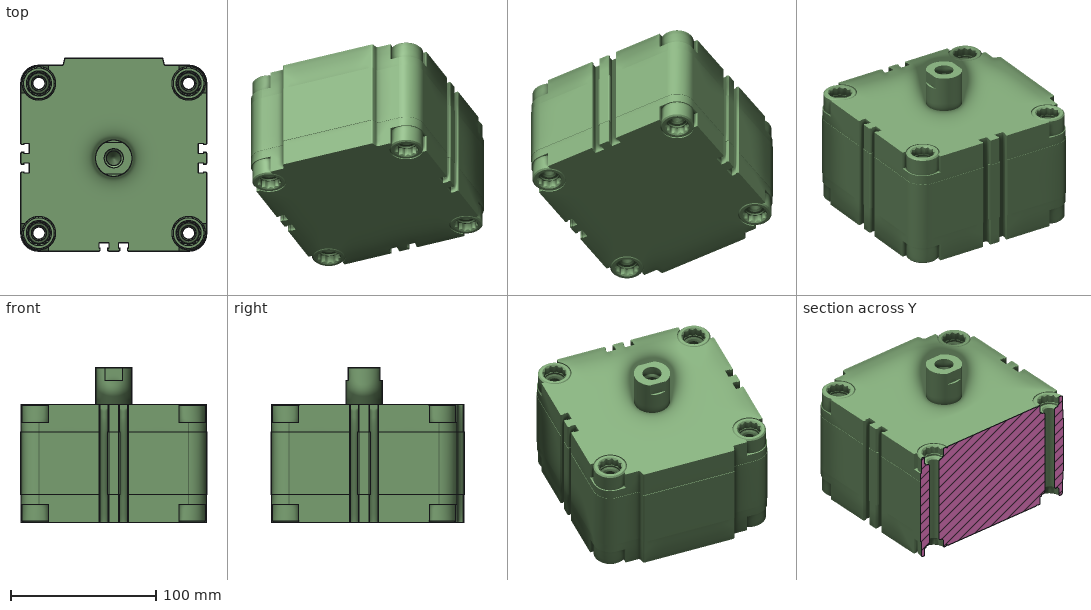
import cadquery as cq
import math

WIDTH = 128.0
HALF_WIDTH = WIDTH / 2
HOUSING_HEIGHT = 81.3
CAP_HEIGHT = 19.2
BARREL_HEIGHT = HOUSING_HEIGHT - 2 * CAP_HEIGHT
CORNER_RADIUS = 12.5
CAP_INSET = 0.2
TAB_INSET = 0.4

TOTAL_DEPTH = 133
TAB_TOP = TOTAL_DEPTH - HALF_WIDTH
TAB_TOP_HALF = 33.6
TAB_ROOT_HALF = 34.8
TAB_FILLET = 1.3

SLOT_DEPTH = 5.9
LIP_DEPTH = 2.3
SLOT_INNER = 3.3
SLOT_OUTER = 10.1
LIP_OUTER = 9.5
LIP_CHAMFER = 0.5
BARREL_LIP_INNER = 4.4
CAP_LIP_INNER = 3.9
SLOT_FACE_ANGLES = (-90, 0, 90)

SCREW_OFFSET = HALF_WIDTH - CORNER_RADIUS
SCREW_PLACES = [(x, y) for x in (-SCREW_OFFSET, SCREW_OFFSET) for y in (-SCREW_OFFSET, SCREW_OFFSET)]
HEAD_DIAMETER = 23.0
HEAD_HEIGHT = 12.4
HEAD_CHAMFER = 0.9
CORNER_NOTCH = 19.0
SCREW_BORE = 8.2
SOCKET_CORNERS = 16.5
HEXAGON_TURN = 30
SOCKET_DEPTH = 6.1
SOCKET_MOUTH = 17.3
SOCKET_MOUTH_TAPER = 1.7
RELIEF_DIAMETER = 14.2
RELIEF_DEPTH = 7.5
BORE_MOUTH = 10.5

ROD_DIAMETER = 25.0
ROD_LENGTH = 25.3
FLAT_WIDTH = 22.0
FLAT_HEIGHT = 8.8
ROD_RECESS_DIAMETER = 13.2
ROD_RECESS_DEPTH = 6.4
ROD_HOLE_DIAMETER = 10.1
ROD_HOLE_DEPTH = 21.3
DRILL_POINT_ANGLE = 118


def cone(bottom_radius, top_radius, height, bottom_z):
    """Cone on the Z axis, starting at bottom_z."""
    return cq.Workplane(obj=cq.Solid.makeCone(bottom_radius, top_radius, height, cq.Vector(0, 0, bottom_z)))


def tab(root, top, height):
    """Trapezoid bar on +Y that ends at y = top, rising from the face at y = root."""
    return (
        cq.Workplane("XY")
        .moveTo(-TAB_ROOT_HALF, root)
        .lineTo(-TAB_TOP_HALF, top)
        .lineTo(TAB_TOP_HALF, top)
        .lineTo(TAB_ROOT_HALF, root)
        .lineTo(TAB_ROOT_HALF, 0)
        .lineTo(-TAB_ROOT_HALF, 0)
        .close()
        .extrude(height)
    )


def slot_pair(lip_inner, face, height):
    """Cutter for the two undercut slots of the -Y face at y = -face."""
    chamfer_end = LIP_CHAMFER - face
    throat = LIP_DEPTH - HALF_WIDTH
    floor = SLOT_DEPTH - HALF_WIDTH
    slot = (
        cq.Workplane("XY")
        .moveTo(SLOT_INNER, -face)
        .lineTo(lip_inner, chamfer_end)
        .lineTo(lip_inner, throat)
        .lineTo(SLOT_INNER, throat)
        .lineTo(SLOT_INNER, floor)
        .lineTo(SLOT_OUTER, floor)
        .lineTo(SLOT_OUTER, throat)
        .lineTo(LIP_OUTER, throat)
        .lineTo(LIP_OUTER, chamfer_end)
        .lineTo(LIP_OUTER + LIP_CHAMFER, -face)
        .close()
        .extrude(height)
    )
    return slot.union(slot.mirror("YZ"))


def section(height, inset, tab_top, lip_inner):
    """Length of the housing with its rounded corners, tab and sensor slots."""
    face = HALF_WIDTH - inset
    body = (
        cq.Workplane("XY")
        .rect(2 * face, 2 * face)
        .extrude(height)
        .edges("|Z")
        .fillet(CORNER_RADIUS - inset)
        .union(tab(face, tab_top, height))
    )
    tab_edges = cq.selectors.BoxSelector(
        (-TAB_ROOT_HALF - TAB_FILLET, face - TAB_FILLET, 0),
        (TAB_ROOT_HALF + TAB_FILLET, tab_top + TAB_FILLET, height),
    )
    body = body.edges("|Z").edges(tab_edges).fillet(TAB_FILLET)
    slots = slot_pair(lip_inner, face, height)
    for angle in SLOT_FACE_ANGLES:
        body = body.cut(slots.rotate((0, 0, 0), (0, 0, 1), angle))
    return body


def at_screws(shape):
    """One copy of a shape at every screw axis."""
    copies = [shape.val().moved(cq.Location(cq.Vector(x, y, 0))) for x, y in SCREW_PLACES]
    return cq.Workplane(obj=cq.Compound.makeCompound(copies))


def head_pocket():
    """Corner notch and round seat that free each screw head from the cap."""
    seat_z = CAP_HEIGHT - HEAD_HEIGHT
    seat = cq.Workplane("XY", origin=(0, 0, seat_z)).circle(HEAD_DIAMETER / 2).extrude(HEAD_HEIGHT)
    notches = (
        cq.Workplane("XY", origin=(0, 0, seat_z))
        .rect(WIDTH, WIDTH, forConstruction=True)
        .vertices()
        .rect(2 * CORNER_NOTCH, 2 * CORNER_NOTCH)
        .extrude(HEAD_HEIGHT)
    )
    return notches.union(at_screws(seat))


def screw_head():
    """Chamfered round head, up to the outer face of the cap."""
    return (
        cq.Workplane("XY", origin=(0, 0, CAP_HEIGHT - HEAD_HEIGHT))
        .circle(HEAD_DIAMETER / 2)
        .extrude(HEAD_HEIGHT)
        .faces(">Z")
        .chamfer(HEAD_CHAMFER)
    )


def screw_hollow():
    """Cutter for the twelve-point socket, its relief and the bore through the cap."""
    top = CAP_HEIGHT
    hexagon = cq.Workplane("XY", origin=(0, 0, top)).polygon(6, SOCKET_CORNERS).extrude(-SOCKET_DEPTH)
    socket = hexagon.union(hexagon.rotate((0, 0, 0), (0, 0, 1), HEXAGON_TURN))
    mouth_radius = SOCKET_MOUTH / 2
    mouth_floor = top - SOCKET_MOUTH_TAPER
    mouth = cone(mouth_radius - SOCKET_MOUTH_TAPER, mouth_radius, SOCKET_MOUTH_TAPER, mouth_floor)
    relief = cq.Workplane("XY", origin=(0, 0, top)).circle(RELIEF_DIAMETER / 2).extrude(-RELIEF_DEPTH)
    countersink = (BORE_MOUTH - SCREW_BORE) / 2
    bore_mouth = cone(SCREW_BORE / 2, BORE_MOUTH / 2, countersink, top - RELIEF_DEPTH - countersink)
    bore = cq.Workplane("XY").circle(SCREW_BORE / 2).extrude(top)
    return bore.union(bore_mouth).union(relief).union(socket).union(mouth)


def cap():
    """End cap with its four hollow screws, joint face on z = 0 and outer face upwards."""
    body = section(CAP_HEIGHT, CAP_INSET, TAB_TOP - TAB_INSET, CAP_LIP_INNER).cut(head_pocket())
    return body.union(at_screws(screw_head())).cut(at_screws(screw_hollow()))


def rod():
    """Round rod end with two spanner flats and a recessed blind hole, standing on z = 0."""
    shaft = cq.Workplane("XY").circle(ROD_DIAMETER / 2).extrude(ROD_LENGTH)
    for side in (-1, 1):
        beside_flat = (
            cq.Workplane("XY", origin=(0, side * FLAT_WIDTH, ROD_LENGTH - FLAT_HEIGHT))
            .rect(ROD_DIAMETER, FLAT_WIDTH)
            .extrude(FLAT_HEIGHT)
        )
        shaft = shaft.cut(beside_flat)

    recess_radius = ROD_RECESS_DIAMETER / 2
    hole_radius = ROD_HOLE_DIAMETER / 2
    recess_floor = ROD_LENGTH - ROD_RECESS_DEPTH
    hole_floor = ROD_LENGTH - ROD_HOLE_DEPTH
    taper = recess_radius - hole_radius
    point = hole_radius / math.tan(math.radians(DRILL_POINT_ANGLE / 2))
    hole = (
        cq.Workplane("XZ")
        .moveTo(0, ROD_LENGTH)
        .lineTo(recess_radius, ROD_LENGTH)
        .lineTo(recess_radius, recess_floor)
        .lineTo(hole_radius, recess_floor - taper)
        .lineTo(hole_radius, hole_floor)
        .lineTo(0, hole_floor - point)
        .close()
        .revolve(360, (0, 0, 0), (0, 1, 0))
    )
    return shaft.cut(hole)


barrel = section(BARREL_HEIGHT, 0, TAB_TOP, BARREL_LIP_INNER)
barrel = barrel.cut(at_screws(cq.Workplane("XY").circle(SCREW_BORE / 2).extrude(BARREL_HEIGHT)))
barrel = barrel.translate((0, 0, CAP_HEIGHT))
top_cap = cap().translate((0, 0, HOUSING_HEIGHT - CAP_HEIGHT))
bottom_cap = cap().mirror("XY").translate((0, 0, CAP_HEIGHT))
housing = barrel.union(top_cap).union(bottom_cap).clean()

piston_rod = rod().translate((0, 0, HOUSING_HEIGHT))

result = cq.Compound.makeCompound([housing.val(), piston_rod.val()])